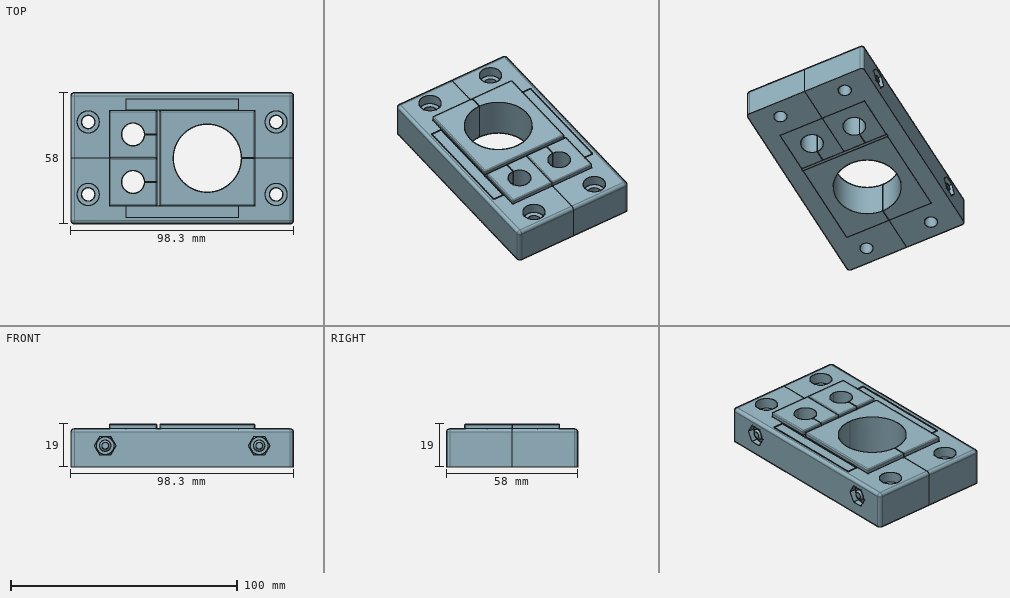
import cadquery as cq
import math


GROMMET_SIZE = 21.0
LARGE_GROMMET_SIZE = 2 * GROMMET_SIZE
GROMMET_HEIGHT = 19.0
GROMMET_EDGE_RADIUS = 0.5
SMALL_CABLE_DIAMETER = 10.0
LARGE_CABLE_DIAMETER = 30.0
SLIT_WIDTH = 0.2

DIVIDER_WIDTH = 1.3

OPENING_LENGTH = GROMMET_SIZE + DIVIDER_WIDTH + LARGE_GROMMET_SIZE
OPENING_WIDTH = LARGE_GROMMET_SIZE
OPENING_X = -0.05
END_BAR_WIDTH = 17.0
SIDE_BAR_WIDTH = 8.0
FRAME_LENGTH = OPENING_LENGTH + 2 * END_BAR_WIDTH
FRAME_WIDTH = OPENING_WIDTH + 2 * SIDE_BAR_WIDTH
FRAME_HEIGHT = 17.0
FRAME_EDGE_RADIUS = 1.5

LABEL_LENGTH = 49.7
LABEL_WIDTH = 5.0
LABEL_WALL = 0.2
LABEL_DEPTH = 0.4

MOUNT_X = 41.5
MOUNT_Y = 16.0
MOUNT_DIAMETER = 5.8
COUNTERBORE_DIAMETER = 9.8
COUNTERBORE_DEPTH = 5.0

SCREW_X = 34.0
SCREW_Z = 9.5
SCREW_DIAMETER = 5.0
SCREW_TIP_CHAMFER = 1.0
SCREW_TIP_INSET = 0.5
SCREW_END_COVER = 5.0
NUT_ACROSS_FLATS = 8.3
NUT_THICKNESS = 3.0
NUT_INSET = 2.5
NUT_FACE_DIAMETER = 7.8
NUT_CHAMFER_ANGLE = 30.0

LARGE_GROMMET_X = OPENING_X + (OPENING_LENGTH - LARGE_GROMMET_SIZE) / 2
SMALL_GROMMET_X = OPENING_X + (GROMMET_SIZE - OPENING_LENGTH) / 2
DIVIDER_X = OPENING_X + GROMMET_SIZE + (DIVIDER_WIDTH - OPENING_LENGTH) / 2
DIVIDER_LENGTH = OPENING_WIDTH + 2 * LABEL_WALL
FRONT_FACE_Y = -FRAME_WIDTH / 2
NUT_FACE_Y = FRONT_FACE_Y + NUT_INSET
NUT_BACK_Y = NUT_FACE_Y + NUT_THICKNESS
NUT_CORNER_DIAMETER = NUT_ACROSS_FLATS / math.cos(math.radians(30))
SCREW_TIP_Y = FRONT_FACE_Y + SCREW_TIP_INSET
SCREW_END_Y = FRAME_WIDTH / 2 - SCREW_END_COVER


def block(length, width, height, x=0.0, y=0.0, z=0.0):
    """Box centred on (x, y) and standing on height z."""
    return cq.Workplane("XY").box(length, width, height, centered=(True, True, False)).translate((x, y, z))


def rod_along_y(x, start_y, end_y, diameter):
    """Round rod along Y at the height of the screws."""
    plane = cq.Workplane("XZ", origin=(x, start_y, SCREW_Z))
    return plane.circle(diameter / 2).extrude(start_y - end_y)


def hexagon_along_y(x, start_y, end_y):
    """Hexagonal prism along Y with two corners pointing along X."""
    plane = cq.Workplane("XZ", origin=(x, start_y, SCREW_Z))
    return plane.polygon(6, NUT_CORNER_DIAMETER).extrude(start_y - end_y)


def screw_bore(x):
    """Space taken by a screw shank where it passes through other bodies."""
    return rod_along_y(x, NUT_FACE_Y, SCREW_END_Y, SCREW_DIAMETER)


def make_screw(x):
    """Headless screw with a chamfered tip and a chamfered hexagon nut, as one body."""
    shank = rod_along_y(x, SCREW_TIP_Y, SCREW_END_Y, SCREW_DIAMETER)
    shank = shank.faces("<Y").chamfer(SCREW_TIP_CHAMFER)
    nut = hexagon_along_y(x, NUT_FACE_Y, NUT_BACK_Y)
    chamfer_width = (NUT_CORNER_DIAMETER - NUT_FACE_DIAMETER) / 2
    chamfer_drop = chamfer_width * math.tan(math.radians(NUT_CHAMFER_ANGLE))
    trim = rod_along_y(x, NUT_FACE_Y, NUT_BACK_Y, NUT_CORNER_DIAMETER)
    trim = trim.faces("<Y").chamfer(chamfer_drop, chamfer_width)
    return nut.intersect(trim).union(shank)


def make_divider():
    """Strip across the opening, keyed into the frame at both ends."""
    return block(DIVIDER_WIDTH, DIVIDER_LENGTH, FRAME_HEIGHT, DIVIDER_X)


def make_frame():
    """Whole frame before it is split in two."""
    frame = block(FRAME_LENGTH, FRAME_WIDTH, FRAME_HEIGHT)
    frame = frame.edges("|Z or >Z").fillet(FRAME_EDGE_RADIUS)
    frame = frame.cut(block(OPENING_LENGTH, OPENING_WIDTH, FRAME_HEIGHT, OPENING_X))
    frame = frame.cut(make_divider())

    mount_points = [(sx * MOUNT_X, sy * MOUNT_Y) for sx in (-1, 1) for sy in (-1, 1)]
    frame = (
        frame.faces(">Z").workplane(origin=(0, 0, FRAME_HEIGHT))
        .pushPoints(mount_points)
        .cboreHole(MOUNT_DIAMETER, COUNTERBORE_DIAMETER, COUNTERBORE_DEPTH)
    )

    label_y = (OPENING_WIDTH + LABEL_WIDTH) / 2 + LABEL_WALL
    for side in (-1, 1):
        label = block(LABEL_LENGTH, LABEL_WIDTH, LABEL_DEPTH, 0, side * label_y, FRAME_HEIGHT - LABEL_DEPTH)
        frame = frame.cut(label)

    for x in (-SCREW_X, SCREW_X):
        frame = frame.cut(screw_bore(x))
        frame = frame.cut(hexagon_along_y(x, FRONT_FACE_Y, NUT_BACK_Y))
    return frame


def make_frame_half(frame, side):
    """Half of the frame on the given side (-1 or 1) of Y = 0."""
    half_space = block(FRAME_LENGTH, FRAME_WIDTH / 2, FRAME_HEIGHT, 0, side * FRAME_WIDTH / 4)
    return frame.intersect(half_space)


def make_grommet(size, cable_diameter, x, y):
    """Square grommet with a cable hole, slit open towards +X and relieved for the screws."""
    grommet = block(size, size, GROMMET_HEIGHT)
    grommet = grommet.edges("|Z or >Z").fillet(GROMMET_EDGE_RADIUS)
    grommet = grommet.faces(">Z").workplane().hole(cable_diameter)
    grommet = grommet.cut(block(size / 2, SLIT_WIDTH, GROMMET_HEIGHT, size / 4))
    grommet = grommet.translate((x, y, 0))
    for screw_x in (-SCREW_X, SCREW_X):
        grommet = grommet.cut(screw_bore(screw_x))
    return grommet


frame = make_frame()
frame_halves = [make_frame_half(frame, side) for side in (-1, 1)]
small_grommets = [
    make_grommet(GROMMET_SIZE, SMALL_CABLE_DIAMETER, SMALL_GROMMET_X, side * GROMMET_SIZE / 2)
    for side in (-1, 1)
]
large_grommet = make_grommet(LARGE_GROMMET_SIZE, LARGE_CABLE_DIAMETER, LARGE_GROMMET_X, 0)
divider = make_divider()
screws = [make_screw(x) for x in (-SCREW_X, SCREW_X)]

bodies = [*frame_halves, *small_grommets, large_grommet, divider, *screws]
result = cq.Compound.makeCompound([body.val() for body in bodies])